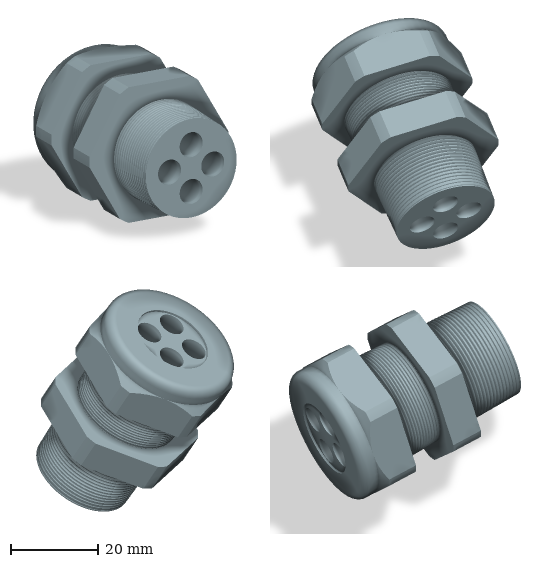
import cadquery as cq
import math

total_length = 45.95
cap_collar_end = 4.2
cap_end = 13.3
flange_start = 23.5
flange_end = 31.0
neck_end = 31.15

hex_across_flats = 33.0
hex_corner_radius = 18.35
cap_collar_radius = hex_across_flats / 2
cap_rounding = 2.0

middle_root_radius = 12.65
middle_crest_start_radius = 13.15
middle_crest_end_radius = 12.8
middle_first_groove = 13.55
middle_last_groove = 23.35
middle_groove_count = 14

end_root_radius = 11.85
end_crest_start_radius = 12.4
end_crest_end_radius = 12.0
end_first_groove = 32.35
end_last_groove = 45.6
end_groove_count = 16
neck_radius = 11.65

groove_half_angle = math.radians(36)

insert_radius = 8.83
mouth_radius = 9.0
mouth_depth = 0.55
cable_hole_count = 4
cable_hole_radius = 3.05
cable_hole_circle_radius = 5.7


def revolve_about_x(profile):
    """Revolve a closed profile, drawn as X and radius, about the X axis."""
    return profile.close().revolve(360, (0, 0, 0), (1, 0, 0))


def cylinder(start, end, radius):
    return cq.Workplane("YZ", origin=(start, 0, 0)).circle(radius).extrude(end - start)


def hexagon(start, end):
    """Hexagonal prism with flats facing +Z and -Z and corners rounded about the axis."""
    across_corners = hex_across_flats / math.cos(math.pi / 6)
    prism = cq.Workplane("YZ", origin=(start, 0, 0)).polygon(6, across_corners).extrude(end - start)
    return prism.intersect(cylinder(start, end, hex_corner_radius))


def make_cap():
    """Round collar with a rolled edge, then a hexagon whose corners are chamfered at 45 degrees."""
    collar = cylinder(0, cap_collar_end, cap_collar_radius).faces("<X").edges().fillet(cap_rounding)
    chamfer = hex_corner_radius - cap_collar_radius
    envelope = revolve_about_x(
        cq.Workplane("XY")
        .moveTo(cap_collar_end, 0)
        .lineTo(cap_collar_end, cap_collar_radius)
        .lineTo(cap_collar_end + chamfer, hex_corner_radius)
        .lineTo(cap_end, hex_corner_radius)
        .lineTo(cap_end, 0)
    )
    return collar.union(hexagon(cap_collar_end, cap_end).intersect(envelope))


def thread_outline(first_groove, last_groove, groove_count, root_radius, start_crest, end_crest):
    """Points of a row of V grooves cut into a tapering crest line, from first to last groove."""
    pitch = (last_groove - first_groove) / (groove_count - 1)
    taper = (end_crest - start_crest) / (last_groove - first_groove)
    points = []
    for index in range(groove_count):
        root = first_groove + index * pitch
        crest = start_crest + taper * index * pitch
        half_width = (crest - root_radius) * math.tan(groove_half_angle)
        points += [
            (root - half_width, crest),
            (root, root_radius),
            (root + half_width, crest),
        ]
    return points


def make_middle_thread():
    """Thread between the cap and the flange; the cap hides the front side of its first groove."""
    grooves = thread_outline(
        middle_first_groove,
        middle_last_groove,
        middle_groove_count,
        middle_root_radius,
        middle_crest_start_radius,
        middle_crest_end_radius,
    )
    profile = cq.Workplane("XY").moveTo(cap_end, 0).lineTo(cap_end, middle_root_radius)
    for point in grooves[1:]:
        profile = profile.lineTo(*point)
    profile = profile.lineTo(flange_start, middle_crest_end_radius).lineTo(flange_start, 0)
    return revolve_about_x(profile)


def make_end_thread():
    """Neck behind the flange that curves up into the first crest of the end thread."""
    grooves = thread_outline(
        end_first_groove,
        end_last_groove,
        end_groove_count,
        end_root_radius,
        end_crest_start_radius,
        end_crest_end_radius,
    )
    profile = (
        cq.Workplane("XY")
        .moveTo(flange_end, 0)
        .lineTo(flange_end, neck_radius)
        .lineTo(neck_end, neck_radius)
        .tangentArcPoint(grooves[0], relative=False)
    )
    for point in grooves[1:]:
        profile = profile.lineTo(*point)
    profile = profile.lineTo(total_length, end_crest_end_radius).lineTo(total_length, 0)
    return revolve_about_x(profile)


def make_gland():
    gland = make_cap().union(make_middle_thread())
    gland = gland.union(hexagon(flange_start, flange_end)).union(make_end_thread())
    bore = cylinder(0, total_length, insert_radius)
    mouth = cylinder(0, mouth_depth, mouth_radius)
    return gland.cut(bore).cut(mouth)


def make_insert():
    """Plug that fills the bore behind the mouth, with a ring of through holes for cables."""
    plug = cylinder(mouth_depth, total_length, insert_radius)
    holes = (
        cq.Workplane("YZ", origin=(mouth_depth, 0, 0))
        .polarArray(cable_hole_circle_radius, 0, 360, cable_hole_count)
        .circle(cable_hole_radius)
        .extrude(total_length - mouth_depth)
    )
    return plug.cut(holes)


gland = make_gland()
insert = make_insert()
result = cq.Compound.makeCompound([gland.solids().val(), insert.solids().val()])